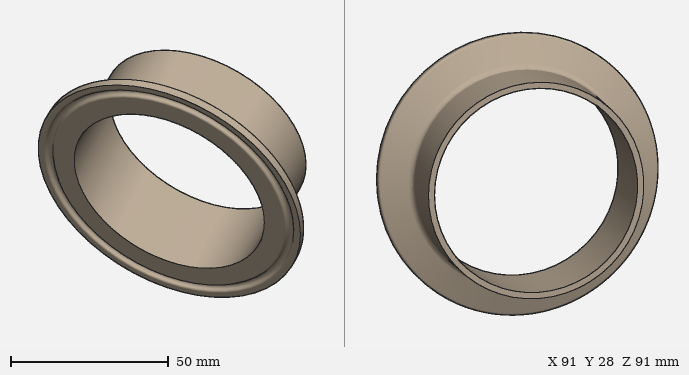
import cadquery as cq
import math

flange_radius = 91 / 2
length = 28.0
tube_radius = 70.0 / 2
bore_radius = 66.0 / 2

cone_angle = math.radians(20)
rim_height = 3.0
rim_fillet = 0.9
neck_fillet = 2.0

groove_radius = 41.8
groove_depth = 1.6
groove_wall_angle = math.radians(20)
groove_bottom_round = 1.1
groove_lip_round = 0.77


def make_ferrule():
    """Revolve the tube and tapered flange about Y, with the sealing face at Y = 0."""
    neck_height = rim_height + (flange_radius - tube_radius) * math.tan(cone_angle)
    body = (
        cq.Workplane("XY")
        .moveTo(bore_radius, 0)
        .lineTo(flange_radius, 0)
        .lineTo(flange_radius, rim_height)
        .lineTo(tube_radius, neck_height)
        .lineTo(tube_radius, length)
        .lineTo(bore_radius, length)
        .close()
        .revolve(360, (0, 0, 0), (0, 1, 0))
    )
    body = body.edges(cq.selectors.RadiusNthSelector(-1)).edges(">Y").fillet(rim_fillet)
    neck_zone = cq.selectors.BoxSelector(
        (-flange_radius, neck_height - neck_fillet / 2, -flange_radius),
        (flange_radius, neck_height + neck_fillet / 2, flange_radius),
        boundingbox=True,
    )
    return body.edges(neck_zone).fillet(neck_fillet)


def make_groove():
    """Ring cutter, symmetric about the groove radius, with its walls tangent to both rounds."""
    cos_wall = math.cos(groove_wall_angle)
    sin_wall = math.sin(groove_wall_angle)
    bottom_half_width = groove_bottom_round * cos_wall
    wall_bottom = groove_depth - groove_bottom_round * (1 - sin_wall)
    wall_top = groove_lip_round * (1 - sin_wall)
    wall_half_width = bottom_half_width + (wall_bottom - wall_top) * math.tan(groove_wall_angle)
    lip_half_width = wall_half_width + groove_lip_round * cos_wall

    mid_angle = (math.pi / 2 + groove_wall_angle) / 2
    lip_mid_half_width = lip_half_width - groove_lip_round * math.cos(mid_angle)
    lip_mid_depth = groove_lip_round * (1 - math.sin(mid_angle))

    def inner(half_width, depth):
        return (groove_radius - half_width, depth)

    def outer(half_width, depth):
        return (groove_radius + half_width, depth)

    return (
        cq.Workplane("XY")
        .moveTo(*inner(lip_half_width, 0))
        .threePointArc(inner(lip_mid_half_width, lip_mid_depth), inner(wall_half_width, wall_top))
        .lineTo(*inner(bottom_half_width, wall_bottom))
        .threePointArc((groove_radius, groove_depth), outer(bottom_half_width, wall_bottom))
        .lineTo(*outer(wall_half_width, wall_top))
        .threePointArc(outer(lip_mid_half_width, lip_mid_depth), outer(lip_half_width, 0))
        .close()
        .revolve(360, (0, 0, 0), (0, 1, 0))
    )


result = make_ferrule().cut(make_groove())